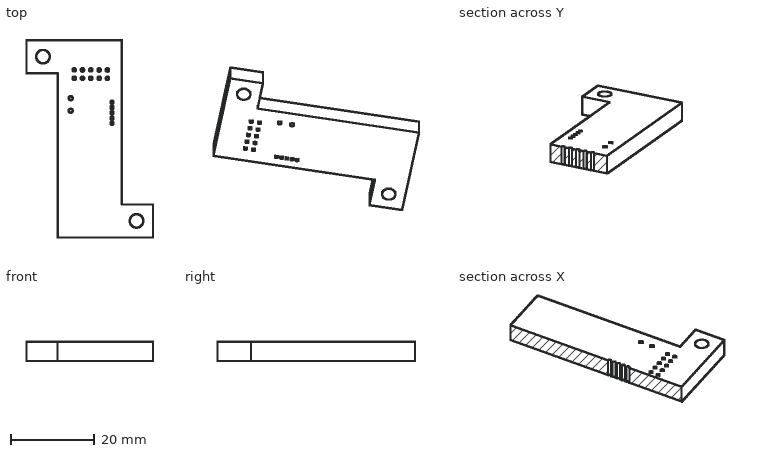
import cadquery as cq

LENGTH_X = 30.5
LENGTH_Y = 47.5
THICKNESS = 4.69

TAB_REACH = 7.5
TAB_WIDTH = 8.0
MOUNT_HOLE_DIAMETER = 3.2
MOUNT_HOLE_INSET = TAB_WIDTH / 2

HEADER_HOLE_DIAMETER = 0.75
HEADER_PITCH = 2.0
HEADER_COLUMNS = 5
HEADER_ROWS = 2
HEADER_CENTER = (15.5, 39.3)

CONNECTOR_HOLE_DIAMETER = 0.7
CONNECTOR_PITCH = 1.27
CONNECTOR_HOLES = 5
CONNECTOR_CENTER = (20.6, 30.0)

POWER_HOLE_DIAMETER = 0.9
POWER_PITCH = 3.02
POWER_HOLES = 2
POWER_CENTER = (10.67, 32.0)


def make_board():
    """Z-shaped plate: a straight body with a tab at the upper left and the lower right."""
    body_left = TAB_REACH
    body_right = LENGTH_X - TAB_REACH
    outline = [
        (body_left, 0),
        (LENGTH_X, 0),
        (LENGTH_X, TAB_WIDTH),
        (body_right, TAB_WIDTH),
        (body_right, LENGTH_Y),
        (0, LENGTH_Y),
        (0, LENGTH_Y - TAB_WIDTH),
        (body_left, LENGTH_Y - TAB_WIDTH),
    ]
    return cq.Workplane("XY").polyline(outline).close().extrude(THICKNESS)


def hole_grid(center, pitch, columns, rows):
    """Evenly spaced hole centres in a grid around the given centre."""
    first_x = center[0] - pitch * (columns - 1) / 2
    first_y = center[1] - pitch * (rows - 1) / 2
    return [
        (first_x + column * pitch, first_y + row * pitch)
        for column in range(columns)
        for row in range(rows)
    ]


def drill(board, centers, diameter):
    """Cut a through hole at each centre."""
    drills = cq.Workplane("XY").pushPoints(centers).circle(diameter / 2).extrude(THICKNESS)
    return board.cut(drills)


mount_centers = [
    (MOUNT_HOLE_INSET, LENGTH_Y - MOUNT_HOLE_INSET),
    (LENGTH_X - MOUNT_HOLE_INSET, MOUNT_HOLE_INSET),
]
header_centers = hole_grid(HEADER_CENTER, HEADER_PITCH, HEADER_COLUMNS, HEADER_ROWS)
connector_centers = hole_grid(CONNECTOR_CENTER, CONNECTOR_PITCH, 1, CONNECTOR_HOLES)
power_centers = hole_grid(POWER_CENTER, POWER_PITCH, 1, POWER_HOLES)

result = make_board()
result = drill(result, mount_centers, MOUNT_HOLE_DIAMETER)
result = drill(result, header_centers, HEADER_HOLE_DIAMETER)
result = drill(result, connector_centers, CONNECTOR_HOLE_DIAMETER)
result = drill(result, power_centers, POWER_HOLE_DIAMETER)